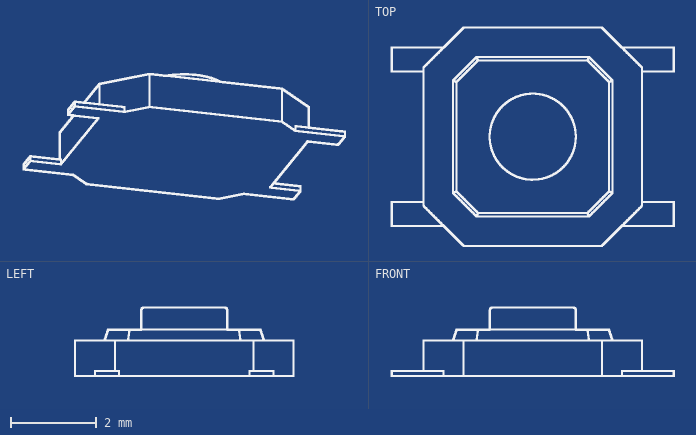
import cadquery as cq

BODY_SIZE = 5.1
BODY_CORNER = 0.94
BODY_TOP = 0.83

PLATFORM_SIZE = 3.72
PLATFORM_CORNER = 0.55
PLATFORM_DRAFT_ANGLE = 18
PLATFORM_TOP = 1.08

BUTTON_DIAMETER = 2.01
BUTTON_TOP = 1.6
BUTTON_EDGE_RADIUS = 0.07

LEAD_SPAN = 6.58
LEAD_WIDTH = 0.565
LEAD_THICKNESS = 0.12
LEAD_CENTER_Y = 1.8


def octagon_points(size, corner):
    """Corner points of a centered square whose corners are cut at 45 degrees."""
    half = size / 2
    flat = half - corner
    return [
        (-flat, -half),
        (flat, -half),
        (half, -flat),
        (half, flat),
        (flat, half),
        (-flat, half),
        (-half, flat),
        (-half, -flat),
    ]


def make_body():
    outline = octagon_points(BODY_SIZE, BODY_CORNER)
    return cq.Workplane("XY").polyline(outline).close().extrude(BODY_TOP)


def make_platform():
    outline = octagon_points(PLATFORM_SIZE, PLATFORM_CORNER)
    return (
        cq.Workplane("XY")
        .workplane(offset=BODY_TOP)
        .polyline(outline)
        .close()
        .extrude(PLATFORM_TOP - BODY_TOP, taper=PLATFORM_DRAFT_ANGLE)
    )


def make_button():
    return (
        cq.Workplane("XY")
        .workplane(offset=PLATFORM_TOP)
        .circle(BUTTON_DIAMETER / 2)
        .extrude(BUTTON_TOP - PLATFORM_TOP)
        .faces(">Z")
        .edges()
        .fillet(BUTTON_EDGE_RADIUS)
    )


def make_leads():
    return (
        cq.Workplane("XY")
        .pushPoints([(0, -LEAD_CENTER_Y), (0, LEAD_CENTER_Y)])
        .rect(LEAD_SPAN, LEAD_WIDTH)
        .extrude(LEAD_THICKNESS)
    )


result = make_body().union(make_platform()).union(make_button()).union(make_leads())